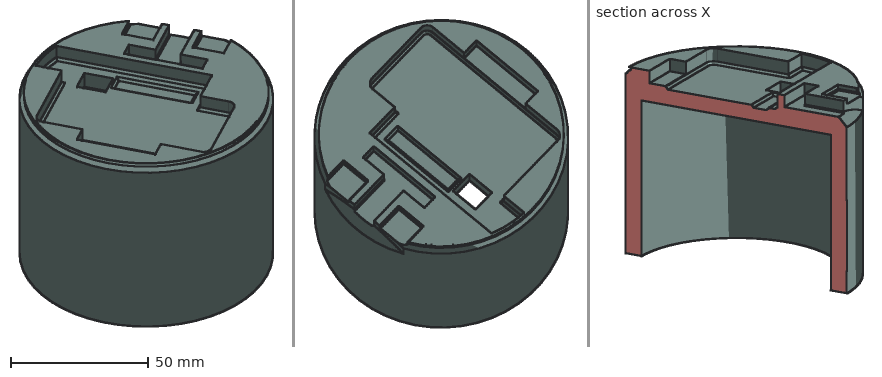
import cadquery as cq
import math

body_diameter = 92.5
body_height = 72.15
body_radius = body_diameter / 2

neck_radius = 89.3 / 2
rim_chamfer = body_radius - neck_radius
rim_height = 3.0
groove_height = rim_height - rim_chamfer
groove_depth = groove_height / 2

cavity_radius = 78.91 / 2

pocket_depth = 6.0
pocket_chamfer = 1.0
pocket_half_width = 33.4
pocket_front_y = -29.3
pocket_back_y = 17.2
pocket_right_shoulder_y = 3.5
pocket_left_shoulder_y = 3.2
pocket_neck_right_x = 19.6
pocket_corner_radius = 3.0
pocket_arc_radius = 43.5
web_thickness = 6.2
cavity_height = body_height - pocket_depth - web_thickness

recess_length = 31.2
recess_width = 7.2
recess_center_y = 10.0
recess_depth = 1.0

window_left_x = -27.6
window_right_x = -16.6
window_front_y = 3.2
window_back_y = 12.15

slot_length = 30.0
front_slot_y = -36.0
front_slot_depth = 4.8
back_slot_front_y = 20.15
back_slot_back_y = 26.0

flat_y = 42.1
shoulder_depth = 8.0
channel_end_radius = 85.62 / 2
channel_depth = shoulder_depth - (body_radius - channel_end_radius)

channel_half_width = 4.8
small_chamfer = 0.4

seat_inner_x = 7.5
seat_outer_x = 19.5
seat_front_y = 31.6
seat_depth = 2.0


def block(x_min, x_max, y_min, y_max, depth, top=body_height):
    """Box cutter reaching the given depth below the level `top`."""
    return cq.Workplane("XY").box(
        x_max - x_min, y_max - y_min, depth, centered=False
    ).translate((x_min, y_min, top - depth))


def make_body():
    """Hollow turned body with a chamfered and grooved rim, open underneath."""
    groove_bottom = body_height - groove_height
    return (
        cq.Workplane("XZ")
        .moveTo(cavity_radius, 0)
        .lineTo(body_radius, 0)
        .lineTo(body_radius, body_height - rim_height)
        .lineTo(neck_radius, groove_bottom)
        .threePointArc(
            (neck_radius - groove_depth, body_height - groove_height / 2),
            (neck_radius, body_height),
        )
        .lineTo(0, body_height)
        .lineTo(0, cavity_height)
        .lineTo(cavity_radius, cavity_height)
        .close()
        .revolve(360, (0, 0, 0), (0, 1, 0))
    )


def point_on_arc(y):
    """Point with the given y on the left-hand arc of the pocket."""
    return (-math.sqrt(pocket_arc_radius**2 - y**2), y)


def make_pocket():
    """Main pocket cutter, bevelled where the walls meet the floor."""
    arc_middle_y = (pocket_back_y + pocket_left_shoulder_y) / 2
    pocket = (
        cq.Workplane("XY", origin=(0, 0, body_height - pocket_depth))
        .moveTo(-pocket_half_width, pocket_front_y)
        .lineTo(pocket_half_width, pocket_front_y)
        .lineTo(pocket_half_width, pocket_right_shoulder_y)
        .lineTo(pocket_neck_right_x, pocket_right_shoulder_y)
        .lineTo(pocket_neck_right_x, pocket_back_y)
        .lineTo(*point_on_arc(pocket_back_y))
        .threePointArc(point_on_arc(arc_middle_y), point_on_arc(pocket_left_shoulder_y))
        .lineTo(-pocket_half_width, pocket_left_shoulder_y)
        .close()
        .extrude(pocket_depth)
    )
    rounded_corners = [
        (-pocket_half_width, pocket_front_y),
        (pocket_half_width, pocket_front_y),
        (pocket_half_width, pocket_right_shoulder_y),
    ]
    for x, y in rounded_corners:
        mid_height = body_height - pocket_depth / 2
        pocket = pocket.edges(cq.NearestToPointSelector((x, y, mid_height))).fillet(pocket_corner_radius)
    return pocket.faces("<Z").chamfer(pocket_chamfer)


def make_recess():
    """Shallow recess in the pocket floor with sloping walls all round."""
    floor = body_height - pocket_depth
    recess = block(
        -recess_length / 2,
        recess_length / 2,
        recess_center_y - recess_width / 2,
        recess_center_y + recess_width / 2,
        2 * recess_depth,
        top=floor + recess_depth,
    )
    return recess.faces("<Z").chamfer(recess_depth)


def make_window():
    """Opening through the pocket floor into the hollow underside."""
    depth = body_height - cavity_height
    return block(window_left_x, window_right_x, window_front_y, window_back_y, depth)


def make_slot(y_min, y_max, depth):
    """Cross slot centred on the YZ plane."""
    return block(-slot_length / 2, slot_length / 2, y_min, y_max, depth)


def make_channel():
    """Channel from the back slot to the back of the body, bevelled along its floor."""
    channel = block(
        -channel_half_width, channel_half_width, back_slot_back_y, body_radius, channel_depth
    )
    return channel.faces("<Z").edges("|Y").chamfer(small_chamfer)


def make_seat():
    """Right-hand shallow seat, bevelled where the walls meet the floor."""
    seat = block(seat_inner_x, seat_outer_x, seat_front_y, body_radius, seat_depth)
    return seat.faces("<Z").chamfer(small_chamfer)


def make_back_relief():
    """Material behind the back flat and above the 45 degree conical shoulder."""
    slab = block(-body_radius, body_radius, flat_y, body_radius, shoulder_depth)
    cone = cq.Solid.makeCone(
        body_radius,
        body_radius - shoulder_depth,
        shoulder_depth,
        pnt=cq.Vector(0, 0, body_height - shoulder_depth),
    )
    return slab.cut(cq.Workplane(cone))


result = make_body()
result = result.cut(make_pocket())
result = result.cut(make_recess())
result = result.cut(make_window())
result = result.cut(make_slot(front_slot_y, pocket_front_y, front_slot_depth))
result = result.cut(make_slot(back_slot_front_y, back_slot_back_y, channel_depth))
result = result.cut(make_channel())
seat = make_seat()
result = result.cut(seat).cut(seat.mirror("YZ"))
result = result.cut(make_back_relief())